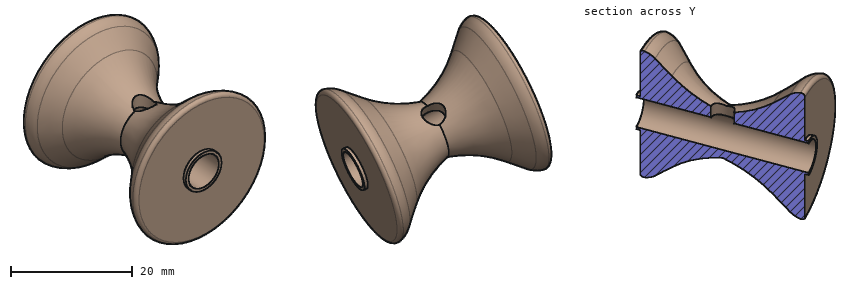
import cadquery as cq
import math

overall_length = 30.48
body_length = 29.2
rim_diameter = 28.07
neck_diameter = 10.18
boss_diameter = 7.62
bore_diameter = 6.43
cross_hole_diameter = 4.02

edge_radius = 0.67
shoulder_radius = 3.8
shoulder_start_angle = 12
cone_angle = 44
cone_end_x = -8.95

half_body = body_length / 2
rim_radius = rim_diameter / 2
neck_radius = neck_diameter / 2


def point_on_arc(center, radius, angle):
    """Point on an arc, with the angle in degrees measured from the radial direction."""
    turn = math.radians(angle)
    return (center[0] + radius * math.sin(turn), center[1] + radius * math.cos(turn))


def make_half_body():
    """Revolve the flared half that lies on the -X side of the neck."""
    edge_center = (edge_radius - half_body, rim_radius - edge_radius)
    face_edge = point_on_arc(edge_center, edge_radius, -90)
    rim_peak = point_on_arc(edge_center, edge_radius, 0)
    shoulder_start = point_on_arc(edge_center, edge_radius, shoulder_start_angle)

    shoulder_center = point_on_arc(
        edge_center, edge_radius - shoulder_radius, shoulder_start_angle
    )
    shoulder_middle_angle = (shoulder_start_angle + cone_angle) / 2
    shoulder_middle = point_on_arc(shoulder_center, shoulder_radius, shoulder_middle_angle)
    cone_start = point_on_arc(shoulder_center, shoulder_radius, cone_angle)

    cone_slope = math.tan(math.radians(cone_angle))
    cone_end = (cone_end_x, cone_start[1] - (cone_end_x - cone_start[0]) * cone_slope)

    return (
        cq.Workplane("XY")
        .moveTo(-half_body, 0)
        .lineTo(*face_edge)
        .threePointArc(rim_peak, shoulder_start)
        .threePointArc(shoulder_middle, cone_start)
        .lineTo(*cone_end)
        .tangentArcPoint((0, neck_radius), relative=False)
        .lineTo(0, 0)
        .close()
        .revolve(360, (0, 0, 0), (1, 0, 0))
    )


def make_axial_cylinder(diameter):
    """Cylinder along X over the full length of the roller."""
    return cq.Workplane("YZ").circle(diameter / 2).extrude(overall_length / 2, both=True)


half = make_half_body()
body = half.union(half.mirror("YZ"))

body = body.union(make_axial_cylinder(boss_diameter))
body = body.cut(make_axial_cylinder(bore_diameter))

cross_hole = cq.Workplane("XY").circle(cross_hole_diameter / 2).extrude(rim_radius)
result = body.cut(cross_hole)